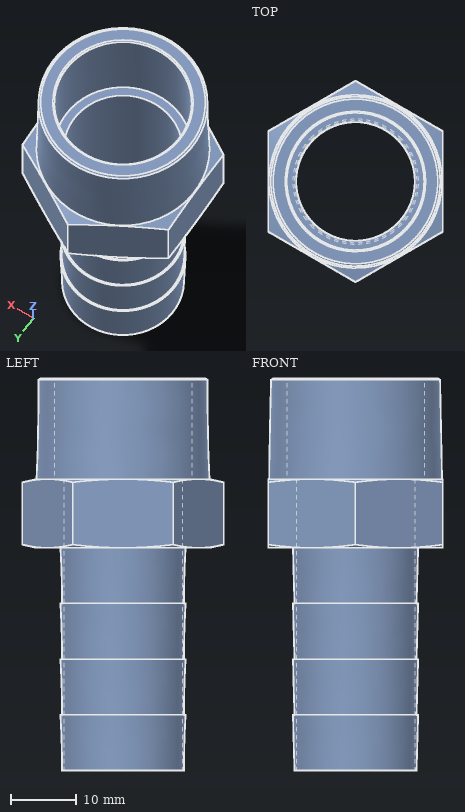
import cadquery as cq
import math

total_length = 59.95
hex_bottom = 34.05
hex_top = 44.55

across_flats = 26.7
across_corners = across_flats / math.cos(math.radians(30))
corner_drop = 0.5

spigot_base_radius = 13.25
spigot_top_radius = 12.95
rim_chamfer_width = 0.35
rim_chamfer_height = 0.25

barb_count = 4
barb_pitch = hex_bottom / barb_count
barb_small_radius = 9.35
barb_large_radius = 9.6

bore_radius = 9.05
counterbore_radius = 10.5
counterbore_depth = total_length - hex_top
mouth_chamfer = 0.25


def revolve_profile(points):
    """Revolve a closed (radius, height) outline about the Z axis."""
    return cq.Workplane("XZ").polyline(points).close().revolve(360, (0, 0), (0, 1))


def make_collar():
    """Hexagon with corners on the Y axis and both ends bevelled by a cone."""
    prism = (
        cq.Workplane("XY", origin=(0, 0, hex_bottom))
        .polygon(6, across_corners)
        .extrude(hex_top - hex_bottom)
        .rotate((0, 0, 0), (0, 0, 1), 30)
    )
    flat_radius = across_flats / 2
    corner_radius = across_corners / 2
    bevel = revolve_profile([
        (0, hex_bottom),
        (flat_radius, hex_bottom),
        (corner_radius, hex_bottom + corner_drop),
        (corner_radius, hex_top - corner_drop),
        (flat_radius, hex_top),
        (0, hex_top),
    ])
    return prism.intersect(bevel)


def make_spigot():
    """Tapered spigot with a small chamfer on its outer rim."""
    return revolve_profile([
        (0, hex_top),
        (spigot_base_radius, hex_top),
        (spigot_top_radius, total_length - rim_chamfer_height),
        (spigot_top_radius - rim_chamfer_width, total_length),
        (0, total_length),
    ])


def make_hose_tail():
    """Stack of equal barbs, each widening towards the collar."""
    outline = [(0, 0)]
    for index in range(barb_count):
        outline.append((barb_small_radius, index * barb_pitch))
        outline.append((barb_large_radius, (index + 1) * barb_pitch))
    outline.append((0, hex_bottom))
    return revolve_profile(outline)


def make_bore():
    """Through bore with a wider, chamfered counterbore in the spigot."""
    return revolve_profile([
        (0, 0),
        (bore_radius, 0),
        (bore_radius, total_length - counterbore_depth),
        (counterbore_radius, total_length - counterbore_depth),
        (counterbore_radius, total_length - mouth_chamfer),
        (counterbore_radius + mouth_chamfer, total_length),
        (0, total_length),
    ])


body = make_collar().union(make_spigot()).union(make_hose_tail())
result = body.cut(make_bore())